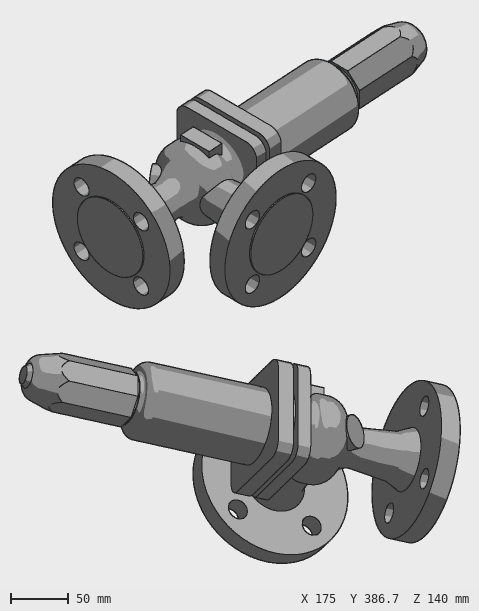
import math

import cadquery as cq


FACE_DISTANCE = 105.0
FLANGE_D = 140.0
FLANGE_T = 18.0
RAISED_D = 78.0
RAISED_T = 1.5
BOLT_CIRCLE_D = 100.0
BOLT_HOLE_D = 18.0
BOLT_COUNT = 4
PORT_D = 32.0

HUB_START = 72.0
HUB_R = 28.5
INLET_TAPER_START = 35.0
INLET_NECK_R = 18.2
INLET_HUB_START_R = 22.3
OUTLET_NECK_R = 16.8
OUTLET_HUB_START_R = 22.8

BULB_R = 39.3
BULB_TOP = 7.0
BULB_BOTTOM_RADIUS = 18.3
SHOULDER_RADIUS = 10.0
SHOULDER_COVE = 5.0
THROAT_R = 34.5
THROAT_FLARE = 5.5

PLATE_SIZE = 95.0
PLATE_CORNER_R = 13.0
BODY_PLATE_BOTTOM = 29.0
BODY_PLATE_T = 12.0
PLATE_GAP = 4.5
BONNET_PLATE_T = 14.5
SPIGOT_R = 42.0
SPIGOT_TOP_R = 38.0
SPIGOT_STEP = 2.3

BONNET_R = PLATE_SIZE / 2 - PLATE_CORNER_R
BONNET_TOP = 176.0
BONNET_FILLET = 8.0
WASHER_R = 23.0
WASHER_TOP = 180.7
WASHER_COVE = 2.5
COLLAR_R = 22.0
CAP_BOTTOM = 183.2
CAP_ACROSS_FLATS = 48.0
CAP_SIDES = 8
CAP_CONE_START = 256.4
CAP_CONE_END = 269.5
CAP_CONE_END_R = 20.5
CAP_DOME_TOP = 277.6
CAP_DOME_TOP_R = 12.5
CAP_DOME_RADIUS = 11.0
BUTTON_BOTTOM_R = 11.0
BUTTON_TOP_R = 8.0
CAP_TOP = 281.7
CAP_TRIM_MARGIN = 1.0

PAD_LENGTH = 34.0
PAD_BOTTOM = 1.6
PAD_TOP = 17.6
PAD_HEIGHT = 42.5
PAD_ROOT = 25.0

BOSS_R = 15.0
BOSS_ANGLE = 34.5
BOSS_FACE_X = -28.5
BOSS_FACE_Y = -22.8
BOSS_LENGTH = 30.0

flange_back = FACE_DISTANCE - RAISED_T - FLANGE_T
flange_front = FACE_DISTANCE - RAISED_T
gap_bottom = BODY_PLATE_BOTTOM + BODY_PLATE_T
gap_top = gap_bottom + PLATE_GAP
bonnet_bottom = gap_top + BONNET_PLATE_T


def cylinder_y(radius, start, end):
    """Cylinder about the spindle axis from Y = start to Y = end."""
    return cq.Workplane("XZ", origin=(0, start, 0)).circle(radius).extrude(start - end)


def turn_about_y(outline):
    """Revolve an XY outline, closed along the spindle axis, about that axis."""
    return outline.close().revolve(360, (0, 0, 0), (0, 1, 0))


def pipe_flange():
    """Bolted flange with raised face, built toward -Y at the inlet position."""
    disc = cylinder_y(FLANGE_D / 2, -flange_front, -flange_back)
    disc = disc.union(cylinder_y(RAISED_D / 2, -FACE_DISTANCE, -flange_front))
    bolts = (
        cq.Workplane("XZ", origin=(0, -flange_back, 0))
        .polarArray(BOLT_CIRCLE_D / 2, 180 / BOLT_COUNT, 360, BOLT_COUNT)
        .circle(BOLT_HOLE_D / 2)
        .extrude(FLANGE_T)
    )
    return disc.cut(bolts)


def body():
    """Inlet neck, bulb and throat turned as one profile."""
    bulb_center_x = BULB_R - BULB_BOTTOM_RADIUS
    offset = bulb_center_x - INLET_NECK_R
    drop = INLET_TAPER_START
    cove = (offset**2 + drop**2 - BULB_BOTTOM_RADIUS**2) / (2 * (BULB_BOTTOM_RADIUS + offset))
    cove_center_x = INLET_NECK_R + cove
    blend = math.atan2(drop, cove_center_x - bulb_center_x)
    blend_x = bulb_center_x + BULB_BOTTOM_RADIUS * math.cos(blend)
    blend_y = -BULB_BOTTOM_RADIUS * math.sin(blend)
    cove_mid = (
        cove_center_x - cove * math.cos(blend / 2),
        -drop + cove * math.sin(blend / 2),
    )
    bulb_mid = (
        bulb_center_x + BULB_BOTTOM_RADIUS * math.cos(blend / 2),
        -BULB_BOTTOM_RADIUS * math.sin(blend / 2),
    )

    step = BULB_R - THROAT_R
    turn = math.acos(1 - step / (SHOULDER_RADIUS + SHOULDER_COVE))
    shoulder_center_x = BULB_R - SHOULDER_RADIUS
    shoulder_mid = (
        shoulder_center_x + SHOULDER_RADIUS * math.cos(turn / 2),
        BULB_TOP + SHOULDER_RADIUS * math.sin(turn / 2),
    )
    shoulder_end = (
        shoulder_center_x + SHOULDER_RADIUS * math.cos(turn),
        BULB_TOP + SHOULDER_RADIUS * math.sin(turn),
    )
    throat_start = BULB_TOP + (SHOULDER_RADIUS + SHOULDER_COVE) * math.sin(turn)
    shoulder_cove_mid = (
        THROAT_R + SHOULDER_COVE * (1 - math.cos(turn / 2)),
        throat_start - SHOULDER_COVE * math.sin(turn / 2),
    )

    flare_start = BODY_PLATE_BOTTOM - THROAT_FLARE
    flare_mid = (
        THROAT_R + THROAT_FLARE * (1 - math.sqrt(0.5)),
        flare_start + THROAT_FLARE * math.sqrt(0.5),
    )
    outline = (
        cq.Workplane("XY")
        .moveTo(0, -flange_back)
        .lineTo(HUB_R, -flange_back)
        .lineTo(INLET_HUB_START_R, -HUB_START)
        .lineTo(INLET_NECK_R, -INLET_TAPER_START)
        .threePointArc(cove_mid, (blend_x, blend_y))
        .threePointArc(bulb_mid, (BULB_R, 0))
        .lineTo(BULB_R, BULB_TOP)
        .threePointArc(shoulder_mid, shoulder_end)
        .threePointArc(shoulder_cove_mid, (THROAT_R, throat_start))
        .lineTo(THROAT_R, flare_start)
        .threePointArc(flare_mid, (THROAT_R + THROAT_FLARE, BODY_PLATE_BOTTOM))
        .lineTo(0, BODY_PLATE_BOTTOM)
    )
    return turn_about_y(outline)


def outlet_neck():
    """Two-stage taper along +X."""
    return (
        cq.Workplane("XY")
        .lineTo(0, OUTLET_NECK_R)
        .lineTo(HUB_START, OUTLET_HUB_START_R)
        .lineTo(flange_back, HUB_R)
        .lineTo(flange_back, 0)
        .close()
        .revolve(360, (0, 0, 0), (1, 0, 0))
    )


def slanted_boss():
    """Solid round boss whose flat end leans toward the inlet."""
    tilt = math.radians(BOSS_ANGLE)
    face = cq.Plane(
        origin=(BOSS_FACE_X, BOSS_FACE_Y, 0),
        xDir=(0, 0, 1),
        normal=(math.cos(tilt), math.sin(tilt), 0),
    )
    return cq.Workplane(face).circle(BOSS_R).extrude(BOSS_LENGTH)


def name_pad():
    """Plain rectangular pad on the +Z side of the bulb."""
    return cq.Workplane("XY").box(
        PAD_LENGTH, PAD_TOP - PAD_BOTTOM, PAD_HEIGHT - PAD_ROOT, centered=(True, False, False)
    ).translate((0, PAD_BOTTOM, PAD_ROOT))


def square_plate(start, thickness):
    """Square plate with rounded corners, from Y = start upward."""
    return (
        cq.Workplane("XZ", origin=(0, start, 0))
        .rect(PLATE_SIZE, PLATE_SIZE)
        .extrude(-thickness)
        .edges("|Y")
        .fillet(PLATE_CORNER_R)
    )


def spigot():
    """Round joint with a conical top that fills the gap between the plates."""
    return turn_about_y(
        cq.Workplane("XY")
        .moveTo(0, gap_bottom)
        .lineTo(SPIGOT_R, gap_bottom)
        .lineTo(SPIGOT_R, gap_bottom + SPIGOT_STEP)
        .lineTo(SPIGOT_TOP_R, gap_top)
        .lineTo(0, gap_top)
    )


def bonnet():
    """Spring housing with rounded top edge, washer and collar."""
    housing = cylinder_y(BONNET_R, bonnet_bottom, BONNET_TOP).faces(">Y").edges().fillet(BONNET_FILLET)
    cove_center_y = BONNET_TOP + WASHER_COVE
    cove_mid = (
        WASHER_R + WASHER_COVE * (1 - math.sqrt(0.5)),
        cove_center_y - WASHER_COVE * math.sqrt(0.5),
    )
    washer = turn_about_y(
        cq.Workplane("XY")
        .moveTo(0, BONNET_TOP)
        .lineTo(WASHER_R + WASHER_COVE, BONNET_TOP)
        .threePointArc(cove_mid, (WASHER_R, cove_center_y))
        .lineTo(WASHER_R, WASHER_TOP)
        .lineTo(0, WASHER_TOP)
    )
    collar = cylinder_y(COLLAR_R, WASHER_TOP, CAP_BOTTOM)
    return housing.union(washer).union(collar)


def cap():
    """Octagonal cap trimmed by a cone and a dome, with a small button on top."""
    flat_r = CAP_ACROSS_FLATS / 2
    corner_r = flat_r / math.cos(math.pi / CAP_SIDES)
    slope = (CAP_CONE_END - CAP_CONE_START) / (flat_r - CAP_CONE_END_R)
    blank_r = corner_r + CAP_TRIM_MARGIN
    cone_start = CAP_CONE_START - slope * (blank_r - flat_r)

    prism = (
        cq.Workplane("XZ", origin=(0, CAP_BOTTOM, 0))
        .polygon(CAP_SIDES, 2 * corner_r)
        .extrude(CAP_BOTTOM - CAP_TOP)
        .rotate((0, 0, 0), (0, 1, 0), 180 / CAP_SIDES)
    )
    envelope = turn_about_y(
        cq.Workplane("XY")
        .moveTo(0, CAP_BOTTOM)
        .lineTo(blank_r, CAP_BOTTOM)
        .lineTo(blank_r, cone_start)
        .lineTo(CAP_CONE_END_R, CAP_CONE_END)
        .radiusArc((CAP_DOME_TOP_R, CAP_DOME_TOP), -CAP_DOME_RADIUS)
        .lineTo(BUTTON_BOTTOM_R, CAP_DOME_TOP)
        .lineTo(BUTTON_TOP_R, CAP_TOP)
        .lineTo(0, CAP_TOP)
    )
    return prism.intersect(envelope)


inlet_flange = pipe_flange()
outlet_flange = inlet_flange.rotate((0, 0, 0), (0, 0, 1), 90)

result = body()
for piece in (
    outlet_neck(),
    inlet_flange,
    outlet_flange,
    slanted_boss(),
    name_pad(),
    square_plate(BODY_PLATE_BOTTOM, BODY_PLATE_T),
    spigot(),
    square_plate(gap_top, BONNET_PLATE_T),
    bonnet(),
    cap(),
):
    result = result.union(piece)

port_plug = cylinder_y(PORT_D / 2, -FACE_DISTANCE, -flange_front)
result = result.cut(port_plug).union(port_plug, clean=False)